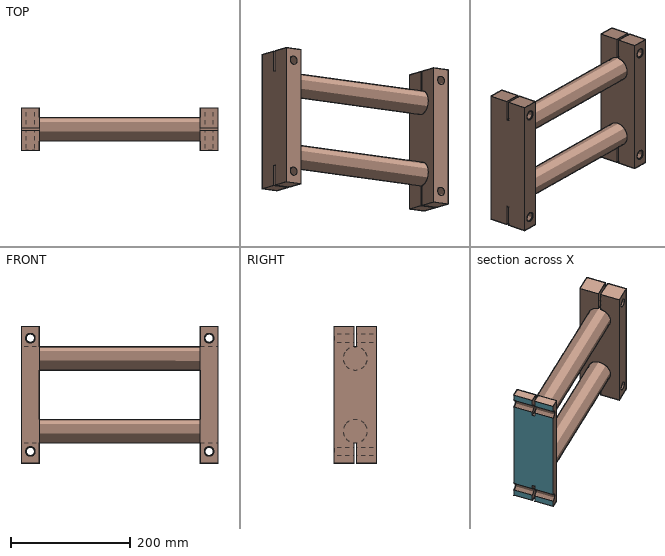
import cadquery as cq

length = 330.0
depth = 72.0
height = 230.0

plate_thickness = 30.0
slot_width = 4.0

rod_diameter = 40.0
rod_spacing = 122.0

hole_diameter = 14.0
hole_spacing = 190.0
countersink_diameter = 16.2
countersink_angle = 90.0

plate_center_x = (length - plate_thickness) / 2
slot_depth = (height - rod_spacing) / 2


def end_plate():
    """Plate with a slot in each end and a countersunk hole across each slot."""
    plate = cq.Workplane("XY").box(plate_thickness, depth, height)
    for side in (-1, 1):
        slot = cq.Workplane("XY").box(plate_thickness, slot_width, slot_depth)
        plate = plate.cut(slot.translate((0, 0, side * (height - slot_depth) / 2)))
    hole_places = [(0, side * hole_spacing / 2) for side in (-1, 1)]
    return (
        plate.faces("<Y")
        .workplane(origin=(0, 0, 0))
        .pushPoints(hole_places)
        .cskHole(hole_diameter, countersink_diameter, countersink_angle)
    )


def rod():
    """Round bar along X, as long as the part."""
    return cq.Workplane("YZ", origin=(-length / 2, 0, 0)).circle(rod_diameter / 2).extrude(length)


result = end_plate().translate((-plate_center_x, 0, 0))
result = result.union(end_plate().translate((plate_center_x, 0, 0)))
for side in (-1, 1):
    result = result.union(rod().translate((0, 0, side * rod_spacing / 2)))